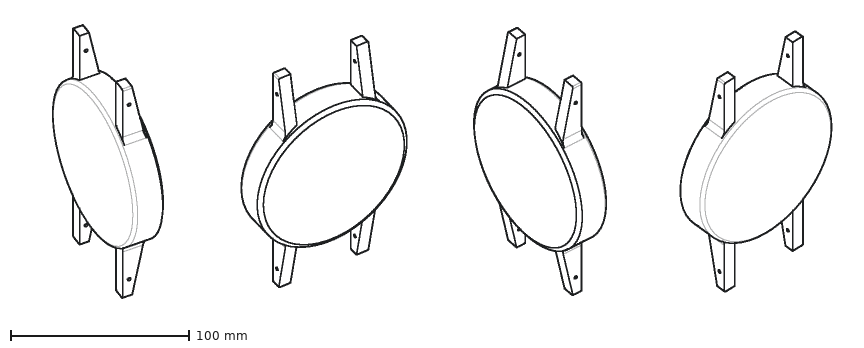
import cadquery as cq
import math

QUARTER_ROUND_INSET = 1 - math.sin(math.radians(45))

case_radius = 50.0
case_depth = 20.0
front_round = 2.0
back_bevel_depth = 1.9
back_bevel_inset = 3.0

lug_inner_x = 22.0
lug_width = 8.0
lug_outer_x = lug_inner_x + lug_width
lug_tip_z = 78.0
lug_root_z = 31.2
lug_front_y = -6.9
lug_tip_back_y = -0.8
lug_back_slope = 0.2
tip_round = 1.0
root_fillet = 6.0

pin_diameter = 1.9
pin_y = -2.7
pin_z = 65.2


def make_case():
    """Disc with a rounded front rim and a bevelled back rim."""
    front_y = -case_depth / 2
    back_y = case_depth / 2
    arc_x = case_radius - front_round * QUARTER_ROUND_INSET
    arc_y = front_y + front_round * QUARTER_ROUND_INSET
    half_section = (
        cq.Workplane("XY")
        .moveTo(0, front_y)
        .lineTo(case_radius - front_round, front_y)
        .threePointArc((arc_x, arc_y), (case_radius, front_y + front_round))
        .lineTo(case_radius, back_y - back_bevel_depth)
        .lineTo(case_radius - back_bevel_inset, back_y)
        .lineTo(0, back_y)
        .close()
    )
    return half_section.revolve(360, (0, 0, 0), (0, 1, 0))


def make_lug():
    """Upper +X lug, blended into the case wall on its outer side."""
    blend_x = lug_outer_x + root_fillet
    blend_reach = case_radius + root_fillet
    blend_z = math.sqrt(blend_reach**2 - blend_x**2)
    case_touch = (blend_x * case_radius / blend_reach, blend_z * case_radius / blend_reach)
    toward_middle = math.pi + math.atan2(blend_z, blend_x) / 2
    blend_middle = (
        blend_x + root_fillet * math.cos(toward_middle),
        blend_z + root_fillet * math.sin(toward_middle),
    )
    tip_diagonal = tip_round * QUARTER_ROUND_INSET
    root_back_y = lug_tip_back_y + lug_back_slope * (lug_tip_z - lug_root_z)

    front_outline = (
        cq.Workplane("XZ")
        .moveTo(lug_inner_x, lug_root_z)
        .lineTo(lug_inner_x, lug_tip_z)
        .lineTo(lug_outer_x - tip_round, lug_tip_z)
        .threePointArc(
            (lug_outer_x - tip_diagonal, lug_tip_z - tip_diagonal),
            (lug_outer_x, lug_tip_z - tip_round),
        )
        .lineTo(lug_outer_x, blend_z)
        .threePointArc(blend_middle, case_touch)
        .lineTo(lug_outer_x, lug_root_z)
        .close()
        .extrude(case_depth / 2, both=True)
    )
    side_taper = (
        cq.Workplane("YZ")
        .moveTo(lug_front_y, lug_root_z)
        .lineTo(lug_front_y, lug_tip_z)
        .lineTo(lug_tip_back_y, lug_tip_z)
        .lineTo(root_back_y, lug_root_z)
        .close()
        .extrude(case_radius)
    )
    pin_hole = (
        cq.Workplane("YZ")
        .center(pin_y, pin_z)
        .circle(pin_diameter / 2)
        .extrude(case_radius)
    )
    return front_outline.intersect(side_taper).cut(pin_hole)


right_lug = make_lug()
upper_lugs = [right_lug, right_lug.mirror("YZ")]

result = make_case()
for lug in upper_lugs:
    result = result.union(lug).union(lug.mirror("XY"))